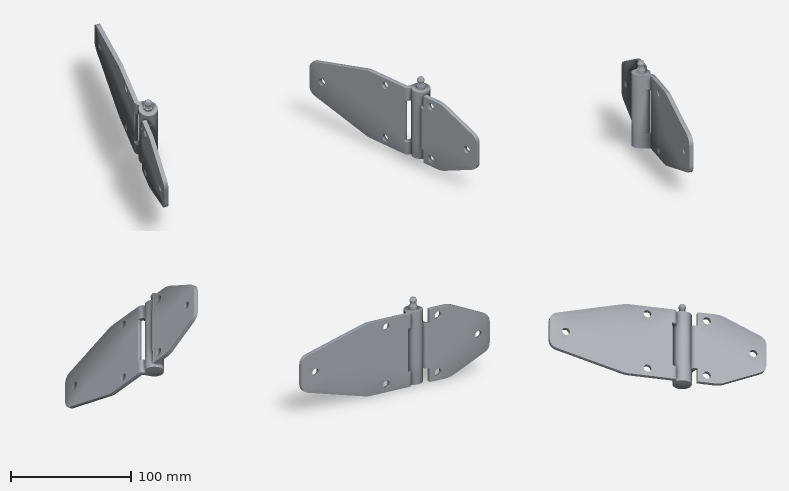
import cadquery as cq
import math


sheet = 3.75
pin_radius = 4.0
knuckle_radius = 8.0
leaf_height = 65.0
end_knuckle_length = 12.5
middle_knuckle_length = leaf_height - 2 * end_knuckle_length
end_knuckle_bottoms = (0, leaf_height - end_knuckle_length)

bend_x = 10.05
bend_inner_radius = 0.15
bend_outer_radius = bend_inner_radius + sheet
plate_front_y = -8.97
plate_back_y = plate_front_y + sheet
cutout_x = 11.0
cutout_depth = 4 * knuckle_radius

end_half_height = 15.0
shoulder_radius = 20.0
end_radius = 8.0
left_end_x = 116.0
left_shoulder_x = 50.7
right_end_x = 70.0
right_shoulder_x = 30.5

hole_diameter = 6.6
hole_half_spacing = 25.5
left_pair_x = 32.0
left_end_hole_x = 102.0
right_pair_x = 19.0
right_end_hole_x = 59.0

hex_across_flats = 7.0
hex_across_corners = hex_across_flats / math.cos(math.radians(30))
hex_height = 3.0
hex_chamfer_angle = math.radians(40)
stem_foot_radius = 3.1
waist_radius = 5.3 / 2
waist_bottom = 5.0
waist_top = 5.7
bead_radius = 6.4 / 2
bead_bottom = 7.4
bead_top = 7.9
tip_radius = 2.0
nipple_height = 10.0


def make_plate(end_x, shoulder_x, pair_x, end_hole_x):
    """Flat tapered plate reaching from the bend to +X, with its three screw holes."""
    middle_z = leaf_height / 2
    plate = (
        cq.Workplane("XZ", origin=(0, plate_back_y, middle_z))
        .moveTo(bend_x, -middle_z)
        .lineTo(shoulder_x, -middle_z)
        .lineTo(end_x, -end_half_height)
        .lineTo(end_x, end_half_height)
        .lineTo(shoulder_x, middle_z)
        .lineTo(bend_x, middle_z)
        .close()
        .extrude(sheet)
    )
    plate = plate.edges("|Y").edges(">X").fillet(end_radius)
    plate_middle_y = (plate_front_y + plate_back_y) / 2
    for shoulder_z in (0, leaf_height):
        shoulder_edge = cq.selectors.NearestToPointSelector((shoulder_x, plate_middle_y, shoulder_z))
        plate = plate.edges("|Y").edges(shoulder_edge).fillet(shoulder_radius)
    holes = (
        cq.Workplane("XZ", origin=(0, plate_back_y, middle_z))
        .pushPoints([(pair_x, -hole_half_spacing), (pair_x, hole_half_spacing), (end_hole_x, 0)])
        .circle(hole_diameter / 2)
        .extrude(sheet)
    )
    return plate.cut(holes)


def make_knuckle(bottom_z, length):
    """Round knuckle with the sloping neck that bends into a plate on its +X side."""
    bend_y = plate_back_y + bend_inner_radius

    def across_neck(radius):
        """Point at a radius from the pin axis along the normal of the neck faces."""
        return (radius * math.cos(neck_angle), radius * math.sin(neck_angle))

    def on_bend(radius, angle):
        """Point at a radius and angle about the bend axis."""
        return (bend_x + radius * math.cos(angle), bend_y + radius * math.sin(angle))

    axis_distance = math.hypot(bend_x, bend_y)
    axis_angle = math.atan2(bend_y, bend_x)
    neck_angle = axis_angle + math.acos((knuckle_radius + bend_inner_radius) / axis_distance)
    bend_start = neck_angle + math.pi
    bend_end = 1.5 * math.pi
    bend_middle = (bend_start + bend_end) / 2

    neck = (
        cq.Workplane("XY", origin=(0, 0, bottom_z))
        .moveTo(*across_neck(knuckle_radius))
        .lineTo(*on_bend(bend_inner_radius, bend_start))
        .threePointArc(on_bend(bend_inner_radius, bend_middle), on_bend(bend_inner_radius, bend_end))
        .lineTo(bend_x, plate_front_y)
        .threePointArc(on_bend(bend_outer_radius, bend_middle), on_bend(bend_outer_radius, bend_start))
        .lineTo(*across_neck(knuckle_radius - sheet))
        .close()
        .extrude(length)
    )
    barrel = cq.Workplane("XY", origin=(0, 0, bottom_z)).circle(knuckle_radius).extrude(length)
    return barrel.union(neck)


def make_cutout(bottom_z, length):
    """Clearance that removes a plate next to the other leaf's knuckle."""
    return (
        cq.Workplane("XY", origin=(0, 0, bottom_z))
        .rect(2 * cutout_x, cutout_depth)
        .extrude(length)
    )


def make_nipple():
    """Grease nipple: chamfered hexagon, tapered stem, waist, bead and tapered tip."""
    hexagon = (
        cq.Workplane("XY")
        .polygon(6, hex_across_corners)
        .extrude(hex_height)
        .rotate((0, 0, 0), (0, 0, 1), 30)
    )
    flat_radius = hex_across_flats / 2
    corner_radius = hex_across_corners / 2
    corner_drop = (corner_radius - flat_radius) * math.tan(hex_chamfer_angle)
    chamfer_envelope = (
        cq.Workplane("XZ")
        .lineTo(corner_radius, 0)
        .lineTo(corner_radius, hex_height - corner_drop)
        .lineTo(flat_radius, hex_height)
        .lineTo(0, hex_height)
        .close()
        .revolve(360, (0, 0), (0, 1))
    )
    stem = (
        cq.Workplane("XZ")
        .lineTo(stem_foot_radius, 0)
        .lineTo(stem_foot_radius, hex_height)
        .lineTo(waist_radius, waist_bottom)
        .lineTo(waist_radius, waist_top)
        .lineTo(bead_radius, bead_bottom)
        .lineTo(bead_radius, bead_top)
        .lineTo(tip_radius, nipple_height)
        .lineTo(0, nipple_height)
        .close()
        .revolve(360, (0, 0), (0, 1))
    )
    return hexagon.intersect(chamfer_envelope).union(stem).translate((0, 0, leaf_height))


def make_pin_leaf():
    """Long leaf on -X with both end knuckles, the fixed pin and the grease nipple."""
    leaf = make_plate(left_end_x, left_shoulder_x, left_pair_x, left_end_hole_x)
    leaf = leaf.cut(make_cutout(end_knuckle_length, middle_knuckle_length))
    for bottom_z in end_knuckle_bottoms:
        leaf = leaf.union(make_knuckle(bottom_z, end_knuckle_length))
    leaf = leaf.mirror("YZ")
    pin = cq.Workplane("XY").circle(pin_radius).extrude(leaf_height)
    return leaf.union(pin).union(make_nipple())


def make_sleeve_leaf():
    """Short leaf on +X with the middle knuckle bored for the pin."""
    leaf = make_plate(right_end_x, right_shoulder_x, right_pair_x, right_end_hole_x)
    for bottom_z in end_knuckle_bottoms:
        leaf = leaf.cut(make_cutout(bottom_z, end_knuckle_length))
    leaf = leaf.union(make_knuckle(end_knuckle_length, middle_knuckle_length))
    bore = cq.Workplane("XY").circle(pin_radius).extrude(leaf_height)
    return leaf.cut(bore)


pin_leaf = make_pin_leaf()
sleeve_leaf = make_sleeve_leaf()

result = cq.Compound.makeCompound([pin_leaf.val(), sleeve_leaf.val()])